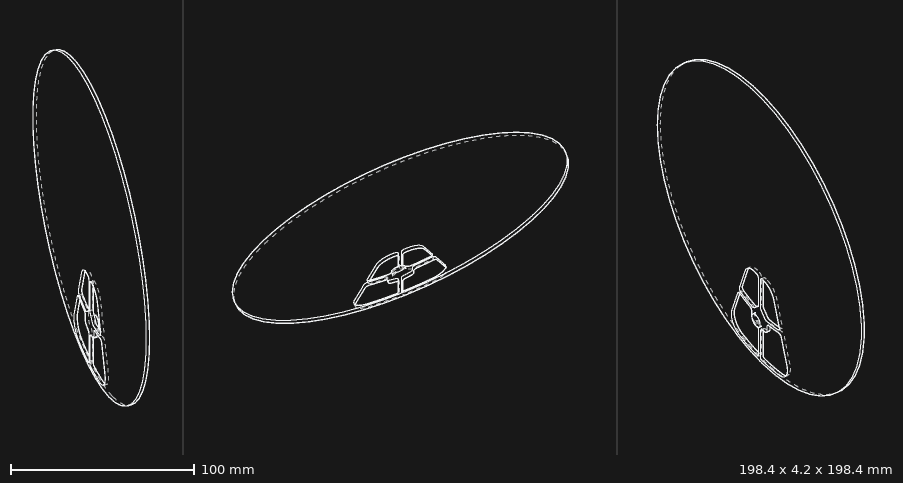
import cadquery as cq
import math

disc_radius = 99.2
disc_thickness = 2.0

window_inner_radius = 36.3
window_outer_radius = 97.0
window_half_angle = math.radians(18)
window_corner_radius = 10.0

bar_width = 2.0
cross_bar_radius = 65.5
bar_corner_radius = 2.0
foot_corner_radius = 1.0
hub_half_width = 7.5
hub_apex_height = 9.7
hub_lower_corner_drop = 4.8
hub_foot_drop = 7.1
hub_corner_radius = 2.4
hub_fillet_radius = 2.0
hub_drop = 68.0

boss_diameter = 8.1
overall_thickness = 4.2
boss_base_fillet = 0.5

half_bar = bar_width / 2
upper_outer_radius = cross_bar_radius - half_bar
lower_inner_radius = cross_bar_radius + half_bar

hub_apex_z = hub_apex_height - hub_drop
hub_shoulder_z = hub_apex_z - hub_half_width
hub_lower_corner_z = -hub_drop - hub_lower_corner_drop
hub_foot_z = -hub_drop - hub_foot_drop
hub_floor_slope = (hub_lower_corner_z - hub_foot_z) / hub_half_width


def front_plane():
    """Sketch plane on the front face with local x = X, local y = Z, extruding toward +Y."""
    return cq.Workplane("XZ")


def polar_point(radius, angle):
    """Point at an angle from straight down, on the +X side."""
    return (radius * math.sin(angle), -radius * math.cos(angle))


def make_hub():
    """House-shaped hub with a roof, upright sides and a shallow pointed floor."""
    outline = [
        (0, hub_apex_z),
        (hub_half_width, hub_shoulder_z),
        (hub_half_width, hub_lower_corner_z),
        (0, hub_foot_z),
        (-hub_half_width, hub_lower_corner_z),
        (-hub_half_width, hub_shoulder_z),
    ]
    hub = front_plane().polyline(outline).close().extrude(-disc_thickness)
    for x in (-hub_half_width, hub_half_width):
        corner = cq.selectors.NearestToPointSelector((x, disc_thickness / 2, hub_lower_corner_z))
        hub = hub.edges("|Y").edges(corner).fillet(hub_corner_radius)
    return hub


def roof_on_arc(arc_radius):
    """Point on the +X side where the 45 degree hub roof meets an arc about the disc axis."""
    x = (hub_apex_z + math.sqrt(2 * arc_radius**2 - hub_apex_z**2)) / 2
    return (x, hub_apex_z - x)


def pane(inner_radius, outer_radius, above_hub, inner_side_corner, outer_side_corner):
    """Right-hand opening between two radii, from the upright bar to the window side."""
    inner_bar_angle = math.asin(half_bar / inner_radius)
    outer_bar_angle = math.asin(half_bar / outer_radius)
    inner_mid_angle = (inner_bar_angle + window_half_angle) / 2
    outer_mid_angle = (outer_bar_angle + window_half_angle) / 2
    inner_side = polar_point(inner_radius, window_half_angle)
    outer_side = polar_point(outer_radius, window_half_angle)
    inner_bar = polar_point(inner_radius, inner_bar_angle)
    outer_bar = polar_point(outer_radius, outer_bar_angle)
    blank = (
        front_plane()
        .moveTo(*inner_bar)
        .threePointArc(polar_point(inner_radius, inner_mid_angle), inner_side)
        .lineTo(*outer_side)
        .threePointArc(polar_point(outer_radius, outer_mid_angle), outer_bar)
        .close()
        .extrude(-disc_thickness)
    )
    opening = blank.cut(make_hub())

    corner_radii = [(inner_side, inner_side_corner), (outer_side, outer_side_corner)]
    if above_hub:
        corner_radii.append((inner_bar, bar_corner_radius))
        hub_on_bar = (half_bar, hub_apex_z - half_bar)
        hub_on_arc = roof_on_arc(outer_radius)
    else:
        corner_radii.append((outer_bar, foot_corner_radius))
        hub_on_bar = (half_bar, hub_foot_z + half_bar * hub_floor_slope)
        hub_on_arc = (hub_half_width, -math.sqrt(inner_radius**2 - hub_half_width**2))
    corner_radii += [(hub_on_bar, hub_fillet_radius), (hub_on_arc, hub_fillet_radius)]
    for (x, z), radius in corner_radii:
        corner = cq.selectors.NearestToPointSelector((x, disc_thickness / 2, z))
        opening = opening.edges("|Y").edges(corner).fillet(radius)
    return opening


disc = front_plane().circle(disc_radius).extrude(-disc_thickness)
upper_pane = pane(window_inner_radius, upper_outer_radius, True,
                  window_corner_radius, bar_corner_radius)
lower_pane = pane(lower_inner_radius, window_outer_radius, False,
                  bar_corner_radius, window_corner_radius)
for opening in (upper_pane, lower_pane):
    disc = disc.cut(opening).cut(opening.mirror("YZ"))

boss_radius = boss_diameter / 2
root_radius = boss_radius + boss_base_fillet
root_top = disc_thickness + boss_base_fillet
root_offset = boss_base_fillet * (1 - math.sqrt(0.5))
boss = (
    cq.Workplane("XY", origin=(0, 0, -hub_drop))
    .moveTo(0, disc_thickness / 2)
    .lineTo(root_radius, disc_thickness / 2)
    .lineTo(root_radius, disc_thickness)
    .threePointArc((boss_radius + root_offset, disc_thickness + root_offset), (boss_radius, root_top))
    .lineTo(boss_radius, overall_thickness)
    .lineTo(0, overall_thickness)
    .close()
    .revolve(360, (0, 0, 0), (0, 1, 0))
)
result = disc.union(boss)